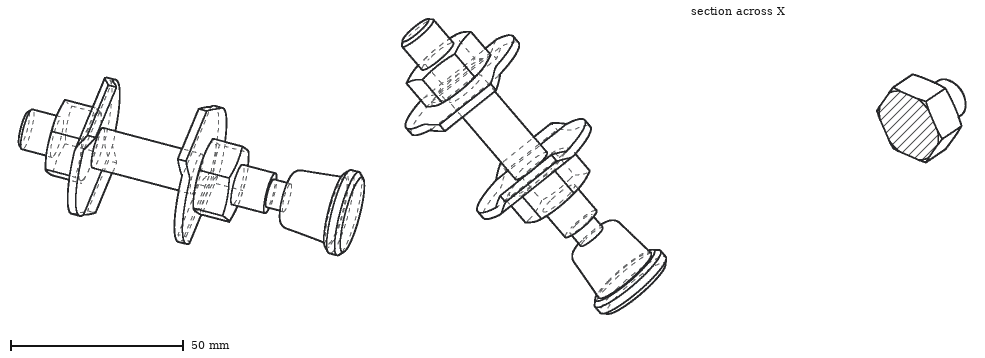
import cadquery as cq
import math

total_length = 100.0
rod_radius = 6.0
rod_end = 75.0
tip_chamfer = 1.0
neck_radius = 4.2

knob_start = 80.0
rim_thickness = 5.0
rim_radius = 12.5
rim_chamfer = 1.3
knob_small_radius = 8.5
knob_large_radius = 10.0
knob_fillet = 2.5

nut_start = 10.0
nut_height = 10.0
nut_width = 21.0
nut_face_radius = 10.4
nut_corner_chamfer = 0.5

plate_radius = 20.4
plate_thickness = 2.5
plate_half_height = 18.0
plate_gap = 30.0
lip_reach = 5.0
bend_radius = 2.0

first_plate_face = nut_start + nut_height
middle_x = first_plate_face + plate_thickness + plate_gap / 2


def cylinder(start, end, radius):
    """Solid round bar on the X axis."""
    return cq.Workplane("YZ", origin=(start, 0, 0)).circle(radius).extrude(end - start)


def make_rod():
    rod = cylinder(0, rod_end, rod_radius).faces("<X").chamfer(tip_chamfer)
    return rod.union(cylinder(0, knob_start, neck_radius))


def make_knob():
    rim_start = total_length - rim_thickness
    body = (
        cq.Workplane("XY")
        .moveTo(knob_start, 0)
        .lineTo(knob_start, knob_small_radius)
        .lineTo(rim_start, knob_large_radius)
        .lineTo(rim_start, 0)
        .close()
        .revolve(360, (0, 0, 0), (1, 0, 0))
        .faces("<X")
        .edges()
        .fillet(knob_fillet)
    )
    rim = cylinder(rim_start, total_length, rim_radius)
    rim = rim.faces("<X or >X").chamfer(rim_chamfer)
    return body.union(rim)


def make_nut():
    corner_radius = nut_width / math.sqrt(3)
    plane = cq.Workplane("YZ", origin=(nut_start, 0, 0))
    hexagon = plane.polygon(6, 2 * corner_radius).extrude(nut_height)
    envelope = cylinder(nut_start, nut_start + nut_height, corner_radius)
    envelope = envelope.faces("<X or >X").chamfer(nut_corner_chamfer, corner_radius - nut_face_radius)
    return hexagon.intersect(envelope)


def make_plate():
    outer = first_plate_face
    inner = outer + plate_thickness
    lip_end = outer + lip_reach
    bend_height = plate_half_height - (lip_end - inner)
    profile = (
        cq.Workplane("XZ")
        .polyline([
            (outer, -bend_height),
            (outer, bend_height),
            (inner, plate_half_height),
            (lip_end, plate_half_height),
            (inner, bend_height),
            (inner, -bend_height),
            (lip_end, -plate_half_height),
            (inner, -plate_half_height),
        ])
        .close()
        .extrude(plate_radius, both=True)
        .edges("|Y and <X")
        .fillet(bend_radius)
    )
    return profile.intersect(cylinder(outer, lip_end, plate_radius))


clamp_half = make_nut().union(make_plate())
opposite_half = clamp_half.mirror("YZ", (middle_x, 0, 0))

result = make_rod().union(make_knob()).union(clamp_half).union(opposite_half)